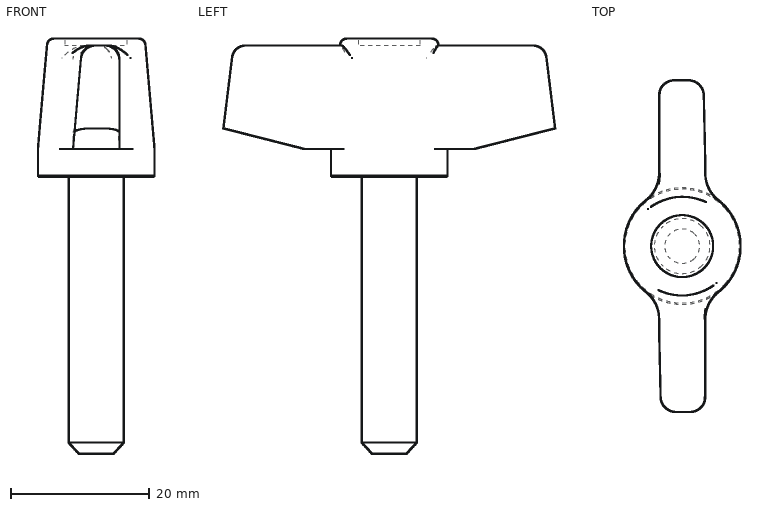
import cadquery as cq
import math

hub_diameter = 16.9
hub_height = 20.0
collar_height = 4.0
draft_angle = 5.0
hub_top_fillet = 1.0
hub_bottom_chamfer = 0.2
recess_diameter = 8.96
recess_depth = 1.0

shank_diameter = 8.0
shank_length = 40.0
shank_chamfer_height = 1.6
shank_end_diameter = 5.0

wing_span = 47.96
wing_top = 19.0
wing_tip_bottom = 7.0
wing_half_thickness = 3.35
wing_flat_bottom_end = 12.2
tip_draft_angle = 7.0
tip_corner_fillet = 2.25
neck_fillet = 5.0
wing_top_fillet = 2.0
neck_box_margin = 1.0

hub_radius = hub_diameter / 2
wing_tip = wing_span / 2
draft_slope = math.tan(math.radians(draft_angle))
tip_slope = math.tan(math.radians(tip_draft_angle))


def hub_radius_at(z):
    return hub_radius - (z - collar_height) * draft_slope


def revolve_profile(profile):
    """Turn a closed (radius, z) profile around the Z axis."""
    return cq.Workplane("XZ").polyline(profile).close().revolve(360, (0, 0), (0, 1))


def make_cone(top):
    """Tapered grip from the collar up to the given height."""
    profile = [
        (0, collar_height),
        (hub_radius, collar_height),
        (hub_radius_at(top), top),
        (0, top),
    ]
    return revolve_profile(profile)


def wing_section(z):
    """Corners of one -Y wing at height z; only its -X side and its tip are drafted."""
    left = -wing_half_thickness + (z - collar_height) * draft_slope
    tip = wing_tip - (z - wing_tip_bottom) * tip_slope
    return [(left, 0), (left, -tip), (wing_half_thickness, -tip), (wing_half_thickness, 0)]


def make_wing():
    height = wing_top - collar_height
    wing = (
        cq.Workplane("XY", origin=(0, 0, collar_height))
        .polyline(wing_section(collar_height))
        .close()
        .workplane(offset=height)
        .polyline(wing_section(wing_top))
        .close()
        .loft(ruled=True)
    )
    return wing.faces("<Y").edges("not #Z").fillet(tip_corner_fillet)


def make_underside_cutter():
    """Wedge that slopes the underside of the -Y wing up to its tip."""
    slope = (wing_tip_bottom - collar_height) / (wing_tip - wing_flat_bottom_end)
    far_end = wing_span
    far_z = collar_height + (far_end - wing_flat_bottom_end) * slope
    wedge = [
        (-wing_flat_bottom_end, collar_height),
        (-far_end, far_z),
        (-far_end, collar_height),
    ]
    return cq.Workplane("YZ").polyline(wedge).close().extrude(hub_radius, both=True)


def half_turn(body):
    return body.rotate((0, 0, 0), (0, 0, 1), 180)


def make_wings():
    """Both wings with their blends towards the hub, without the hub itself.

    The blends are rounded around a core that stops at the wing top; the core is then removed.
    """
    wing = make_wing()
    body = make_cone(wing_top).union(wing).union(half_turn(wing))
    neck_half_width = wing_half_thickness + neck_box_margin
    neck_box = cq.selectors.BoxSelector(
        (-neck_half_width, -hub_radius, collar_height + neck_box_margin),
        (neck_half_width, hub_radius, wing_top - neck_box_margin),
    )
    body = body.edges(neck_box).edges("not #Z").fillet(neck_fillet)
    body = body.faces(">Z").edges().fillet(wing_top_fillet)
    cutter = make_underside_cutter()
    body = body.cut(cutter).cut(half_turn(cutter))
    return body.cut(make_cone(hub_height))


def make_hub():
    collar = cq.Workplane("XY").circle(hub_radius).extrude(collar_height)
    collar = collar.faces("<Z").edges().chamfer(hub_bottom_chamfer)
    grip = make_cone(hub_height).faces(">Z").edges().fillet(hub_top_fillet)
    return collar.union(grip)


def make_shank():
    end_z = -shank_length
    profile = [
        (0, collar_height),
        (shank_diameter / 2, collar_height),
        (shank_diameter / 2, end_z + shank_chamfer_height),
        (shank_end_diameter / 2, end_z),
        (0, end_z),
    ]
    return revolve_profile(profile)


def make_recess():
    floor = cq.Workplane("XY", origin=(0, 0, hub_height - recess_depth))
    return floor.circle(recess_diameter / 2).extrude(recess_depth)


result = make_hub().union(make_wings()).union(make_shank()).cut(make_recess())